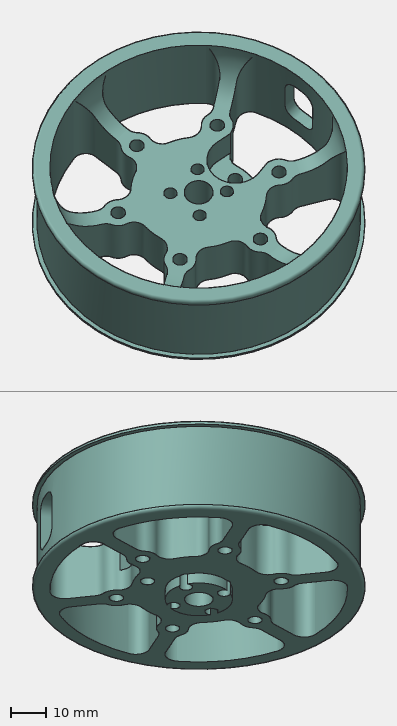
import cadquery as cq
import math

flange_radius = 47.0
drum_radius = 45.7
rim_inner_radius = 42.0
rim_height = 28.6
flange_thickness = 1.3
flange_fillet = 0.9

lobe_count = 6
hub_height = 16.0
hub_radius = 19.2
lobe_circle_radius = 23.8
lobe_radius = 4.5
lobe_hole_diameter = 4.0
spoke_width = 4.9
web_fillet = 4.0

bore_diameter = 8.1
centre_hole_diameter = 3.7
centre_hole_offset = 5.6

boss_radius = 9.5
boss_height = 3.2

pocket_radius = 8.0
pocket_offset = 15.2
pocket_side_lean = 8.5
pocket_length = 9.4
pocket_floor = 6.5
pocket_hole_diameter = 4.0

window_width = 10.5
window_height = 16.0
window_corner_radius = 3.6


def cylinder(radius, bottom, height):
    return cq.Workplane("XY").workplane(offset=bottom).circle(radius).extrude(height)


def hole_cutter(points, diameter):
    """Round cutters that run the full height of the wheel."""
    start = cq.Workplane("XY").workplane(offset=-boss_height)
    return start.pushPoints(points).circle(diameter / 2).extrude(boss_height + rim_height)


def on_circle(radius, angle):
    return radius * math.cos(math.radians(angle)), radius * math.sin(math.radians(angle))


def flange():
    """Flange standing on Z = 0 whose top outer corner is rounded."""
    return cylinder(flange_radius, 0, flange_thickness).faces(">Z").edges().fillet(flange_fillet)


def repeat_around(shape):
    """Copies of a shape on the +X axis, one turned to each lobe."""
    copies = cq.Workplane("XY")
    for angle in lobe_angles:
        copies = copies.add(shape.rotate((0, 0, 0), (0, 0, 1), angle))
    return copies.combine()


lobe_angles = [index * 360 / lobe_count for index in range(lobe_count)]
lobe_points = [on_circle(lobe_circle_radius, angle) for angle in lobe_angles]

spoke_length = (rim_inner_radius + drum_radius) / 2 - lobe_circle_radius
spoke_centre = lobe_circle_radius + spoke_length / 2
arm = cq.Workplane("XY").center(spoke_centre, 0).rect(spoke_length, spoke_width).extrude(rim_height)
arm = arm.union(cylinder(lobe_radius, 0, rim_height).translate((lobe_circle_radius, 0, 0)))
web = cylinder(drum_radius, 0, rim_height).cut(cylinder(rim_inner_radius, 0, rim_height))
web = web.union(repeat_around(arm))
inside_corners = cq.selectors.BoxSelector(
    (-rim_inner_radius, -rim_inner_radius, 0), (rim_inner_radius, rim_inner_radius, rim_height)
)
web = web.edges("|Z").edges(inside_corners).fillet(web_fillet)

round_centre_radius = hub_radius + web_fillet
round_to_lobe = lobe_radius + web_fillet
round_angle = math.degrees(
    math.acos(
        (lobe_circle_radius**2 + round_centre_radius**2 - round_to_lobe**2)
        / (2 * lobe_circle_radius * round_centre_radius)
    )
)
round_centres = [on_circle(round_centre_radius, side * round_angle) for side in (-1, 1)]
neck_outline = [(0, 0), round_centres[0], (lobe_circle_radius, 0), round_centres[1]]
neck = cq.Workplane("XY").polyline(neck_outline).close().extrude(rim_height)
neck = neck.cut(cq.Workplane("XY").pushPoints(round_centres).circle(web_fillet).extrude(rim_height))
web = web.union(cylinder(hub_radius, 0, rim_height)).union(repeat_around(neck))

bowl_depth = rim_height - hub_height
bowl = (
    cq.Workplane("XZ")
    .moveTo(0, hub_height)
    .lineTo(rim_inner_radius - bowl_depth, hub_height)
    .tangentArcPoint((rim_inner_radius, rim_height), relative=False)
    .lineTo(0, rim_height)
    .close()
    .revolve(360, (0, 0, 0), (0, 1, 0))
)
wheel = web.cut(bowl)

flange_bore = cylinder(rim_inner_radius, 0, rim_height)
upper_flange = flange().translate((0, 0, rim_height - flange_thickness))
lower_flange = flange().mirror("XY").translate((0, 0, flange_thickness))
wheel = wheel.union(upper_flange.union(lower_flange).cut(flange_bore))

wheel = wheel.union(cylinder(boss_radius, -boss_height, boss_height))
lean = math.radians(pocket_side_lean)
side_x, side_y = on_circle(pocket_radius, pocket_side_lean)
side_end_x = side_x - (pocket_length - side_y) * math.tan(lean)
pocket = (
    cq.Workplane("XY", origin=(0, pocket_offset, pocket_floor))
    .moveTo(side_x, side_y)
    .lineTo(side_end_x, pocket_length)
    .lineTo(-side_end_x, pocket_length)
    .lineTo(-side_x, side_y)
    .threePointArc((0, -pocket_radius), (side_x, side_y))
    .close()
    .extrude(rim_height - pocket_floor)
)
wheel = wheel.cut(pocket)

sides = (-centre_hole_offset, centre_hole_offset)
centre_points = [(x, y) for x in sides for y in sides]
wheel = wheel.cut(hole_cutter([(0, 0)], bore_diameter))
wheel = wheel.cut(hole_cutter(centre_points, centre_hole_diameter))
wheel = wheel.cut(hole_cutter(lobe_points, lobe_hole_diameter))
wheel = wheel.cut(hole_cutter([(0, pocket_offset)], pocket_hole_diameter))

window_start = lobe_circle_radius
window_reach = flange_radius - window_start
window = (
    cq.Workplane("XY")
    .box(window_width, window_reach, window_height)
    .edges("|Y")
    .fillet(window_corner_radius)
    .translate((0, window_start + window_reach / 2, rim_height / 2))
)
result = wheel.cut(window)